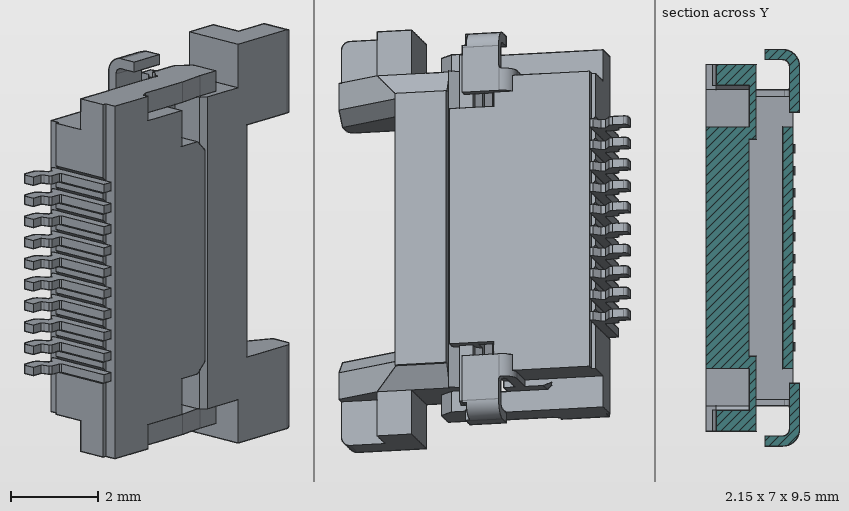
import cadquery as cq
COVER_X = 0.15
COVER_BACK_X = 0.39
EAR_X = 0.855
BASE_X = 1.16
LIP_X = 1.86
RECESS_X = 1.92
BASE_BACK_X = 2.15

TERMINAL_FACE_Y = 0.82
LIP_Y = 0.9
SLOT_END_Y = 2.02
WINDOW_Y = 3.15
EAR_TOE_Y = 3.4
EAR_FRONT_Y = 3.55
BASE_END_Y = 3.93
COVER_END_Y = 4.19

NECK_Z = 2.76
COVER_Z = 3.47
BASE_Z = 3.62
EAR_INNER_Z = 3.71
EAR_Z = 4.2

PIN_COUNT = 10
PIN_PITCH = 0.5
PIN_WIDTH = 0.2

SLIDER_X = 0.51
BEVEL_X = 0.25
SLIDER_BACK_X = 2.03
SLIDER_FACE_Z = 3.19
SLIDER_FRONT_Y = 4.275
LEG_FRONT_Y = 5.17
SLIDER_END_Y = 5.47
LEG_STEP_Y = 5.98
REAR_Y = 7.0
REAR_X = 1.05
LEG_Z = 4.75
BACK_RADIUS = 0.19

SHEET = 0.24
HOOK_START_Y = 3.0
HOOK_END_Y = 3.86
SPRING_Y = 2.65
ROOT_RADIUS = 0.34
SPRING_LOW_Z = 3.1
HOOK_TOP_Z = 4.54
HOOK_REACH_X = 0.8
HOOK_RADIUS = 0.39


def box(x0, x1, y0, y1, z0, z1):
    """Box between two corners."""
    return cq.Workplane("XY").box(x1 - x0, y1 - y0, z1 - z0, centered=False).translate((x0, y0, z0))


def prism_z(points, z0, z1):
    """XY outline extruded from z0 to z1."""
    return cq.Workplane("XY").workplane(offset=z0).polyline(points).close().extrude(z1 - z0)


def prism_x(half_outline, x0, x1):
    """(Y, Z) outline mirrored about Z = 0, extruded from x0 to x1."""
    mirrored = [(y, -z) for y, z in reversed(half_outline)]
    return cq.Workplane("YZ").workplane(offset=x0).polyline(half_outline + mirrored).close().extrude(x1 - x0)


def both_sides(shape):
    """The shape together with its mirror image about Z = 0."""
    return shape.union(shape.mirror("XY"))


def housing():
    cover = prism_x(
        [
            (TERMINAL_FACE_Y, COVER_Z),
            (WINDOW_Y, COVER_Z),
            (WINDOW_Y, NECK_Z),
            (COVER_END_Y, NECK_Z),
        ],
        COVER_X,
        BASE_X,
    )
    base = prism_x(
        [
            (TERMINAL_FACE_Y, EAR_Z),
            (SLOT_END_Y, EAR_Z),
            (SLOT_END_Y, BASE_Z),
            (WINDOW_Y, BASE_Z),
            (WINDOW_Y, NECK_Z),
            (BASE_END_Y - 0.25, NECK_Z),
            (BASE_END_Y, NECK_Z - 0.25),
        ],
        BASE_X,
        BASE_BACK_X,
    )
    body = cover.union(base)
    slot_turn = (
        cq.Workplane("YZ")
        .workplane(offset=BASE_X)
        .polyline([(SLOT_END_Y, BASE_Z), (SLOT_END_Y, 3.55), (2.22, BASE_Z)])
        .close()
        .extrude(RECESS_X - BASE_X)
    )
    body = body.cut(both_sides(slot_turn))
    body = body.cut(box(COVER_BACK_X, BASE_X, WINDOW_Y, EAR_FRONT_Y, -LEG_Z, LEG_Z))
    for x0, x1 in ((COVER_X, COVER_BACK_X), (LIP_X, BASE_BACK_X)):
        body = body.cut(box(x0, x1, TERMINAL_FACE_Y, LIP_Y, -LEG_Z, LEG_Z))
    return body


def ear():
    outline = [
        (BASE_X, TERMINAL_FACE_Y),
        (LIP_X, TERMINAL_FACE_Y),
        (LIP_X, LIP_Y),
        (BASE_BACK_X, LIP_Y),
        (BASE_BACK_X, SLOT_END_Y),
        (1.995, SLOT_END_Y),
        (RECESS_X, 2.185),
        (RECESS_X, 3.42),
        (1.85, 4.085),
        (1.85, 4.62),
        (BASE_X, 4.62),
        (EAR_X, 4.3),
        (EAR_X, EAR_FRONT_Y),
        (0.94, EAR_FRONT_Y),
        (1.09, EAR_TOE_Y),
        (BASE_X, EAR_TOE_Y),
    ]
    bevel = EAR_INNER_Z - BASE_Z
    slot_corner = (
        cq.Workplane("YZ")
        .workplane(offset=BASE_X)
        .polyline([(SLOT_END_Y, EAR_INNER_Z), (SLOT_END_Y + bevel, EAR_INNER_Z), (SLOT_END_Y, EAR_INNER_Z - bevel)])
        .close()
        .extrude(RECESS_X - BASE_X)
    )
    return prism_z(outline, EAR_INNER_Z, EAR_Z).union(slot_corner)


def stop_block():
    outline = [
        (0.38, 4.01),
        (0.38, 3.7),
        (0.61, 3.7),
        (0.76, EAR_FRONT_Y),
        (0.94, EAR_FRONT_Y),
        (1.09, EAR_TOE_Y),
        (BASE_X, EAR_TOE_Y),
        (BASE_X, 4.08),
        (EAR_X, 4.08),
    ]
    return prism_z(outline, NECK_Z - 0.285, 4.07)


def slider():
    profile = [
        (COVER_X, SLIDER_END_Y),
        (COVER_X, SLIDER_FRONT_Y),
        (COVER_BACK_X, SLIDER_FRONT_Y),
        (0.56, 4.02),
        (EAR_X, 4.02),
        (EAR_X, 3.99),
        (RECESS_X, 3.99),
        (SLIDER_BACK_X, 4.13),
        (SLIDER_BACK_X, SLIDER_END_Y),
    ]
    return prism_z(profile, -EAR_INNER_Z, EAR_INNER_Z)


def arm():
    outline = [
        (BEVEL_X, SLIDER_END_Y),
        (REAR_X, REAR_Y),
        (SLIDER_BACK_X, REAR_Y),
        (SLIDER_BACK_X, SLIDER_END_Y),
    ]
    body = prism_z(outline, NECK_Z, EAR_INNER_Z)
    sloped_inner_edge = cq.selectors.BoxSelector((0.19, 5.51, NECK_Z - 0.01), (0.95, 6.935, NECK_Z + 0.01))
    return body.edges(sloped_inner_edge).chamfer(0.32).edges("|Z and >X and >Y").fillet(BACK_RADIUS)


def side_bevel():
    """Wedge removed along the long edge of the slider face."""
    return (
        cq.Workplane("XZ")
        .polyline([(0, SLIDER_FACE_Z), (BEVEL_X, SLIDER_FACE_Z), (SLIDER_X, EAR_INNER_Z), (0, EAR_INNER_Z)])
        .close()
        .extrude(-LEG_STEP_Y)
        .intersect(box(0, SLIDER_X, SLIDER_FRONT_Y, LEG_STEP_Y, 0, LEG_Z))
    )


def leg():
    outline = [
        (SLIDER_X, LEG_FRONT_Y),
        (SLIDER_X, LEG_STEP_Y),
        (1.3, LEG_STEP_Y),
        (1.3, REAR_Y),
        (SLIDER_BACK_X, REAR_Y),
        (SLIDER_BACK_X, LEG_FRONT_Y),
    ]
    rounded_tip = (
        box(0, BASE_BACK_X, 0, REAR_Y, EAR_INNER_Z, LEG_Z)
        .edges("|X and >Y and >Z")
        .fillet(0.21)
    )
    rounded_back = prism_z(outline, EAR_INNER_Z, LEG_Z).edges("|Z and >X and >Y").fillet(BACK_RADIUS)
    return rounded_back.intersect(rounded_tip)


def spring():
    hook = (
        box(0, HOOK_REACH_X, HOOK_START_Y, HOOK_END_Y, SPRING_LOW_Z, HOOK_TOP_Z)
        .edges("|Y and <X and >Z")
        .fillet(HOOK_RADIUS)
    )
    inside = (
        box(SHEET, HOOK_REACH_X, HOOK_START_Y, HOOK_END_Y, SPRING_LOW_Z, HOOK_TOP_Z - SHEET)
        .edges("|Y and <X and >Z")
        .fillet(HOOK_RADIUS - SHEET)
    )
    hook = hook.cut(inside)
    root = box(0, BASE_X, SPRING_Y, HOOK_START_Y, SPRING_LOW_Z, BASE_Z).edges("|Z and <X and <Y").fillet(ROOT_RADIUS)
    root_inside = (
        box(SHEET, BASE_X, SPRING_Y + SHEET, HOOK_START_Y, SPRING_LOW_Z, BASE_Z)
        .edges("|Z and <X and <Y")
        .fillet(ROOT_RADIUS - SHEET)
    )
    notch = box(0, 0.34, HOOK_END_Y - 0.095, HOOK_END_Y, EAR_Z, HOOK_TOP_Z)
    corner = cq.selectors.BoxSelector((0.01, HOOK_START_Y - 0.01, BASE_Z - 0.01), (SHEET, HOOK_START_Y + 0.01, BASE_Z + 0.01))
    return hook.cut(notch).union(root.cut(root_inside)).edges(corner).fillet(0.09)


def contact(z):
    outline = [
        (0.22, LIP_Y),
        (0.22, 0.84),
        (0.38, 0.68),
        (0.38, 0.58),
        (0.14, 0.44),
        (0.1, 0.35),
        (0.1, 0),
        (0.44, 0),
        (0.44, 0.27),
        (0.5, 0.29),
        (0.63, 0.32),
        (0.67, 0.38),
        (0.67, 0.62),
        (0.71, 0.66),
        (SLIDER_BACK_X, 0.66),
        (SLIDER_BACK_X, LIP_Y),
    ]
    pin = prism_z(outline, z - PIN_WIDTH / 2, z + PIN_WIDTH / 2)
    return pin.edges("|Z and <X and <Y").fillet(0.095)


def contact_groove(z):
    flare = LIP_Y - TERMINAL_FACE_Y
    half = PIN_WIDTH / 2
    return (
        cq.Workplane("YZ")
        .workplane(offset=COVER_BACK_X)
        .polyline([
            (TERMINAL_FACE_Y, z - half - flare),
            (LIP_Y, z - half),
            (LIP_Y, z + half),
            (TERMINAL_FACE_Y, z + half + flare),
        ])
        .close()
        .extrude(LIP_X - COVER_BACK_X)
    )


body = housing().union(both_sides(ear())).union(both_sides(stop_block()))
body = body.union(slider().union(both_sides(arm())).cut(both_sides(side_bevel())))
body = body.union(both_sides(leg())).union(both_sides(spring()))
for index in range(PIN_COUNT):
    pin_z = (index - (PIN_COUNT - 1) / 2) * PIN_PITCH
    body = body.cut(contact_groove(pin_z)).union(contact(pin_z))

result = body